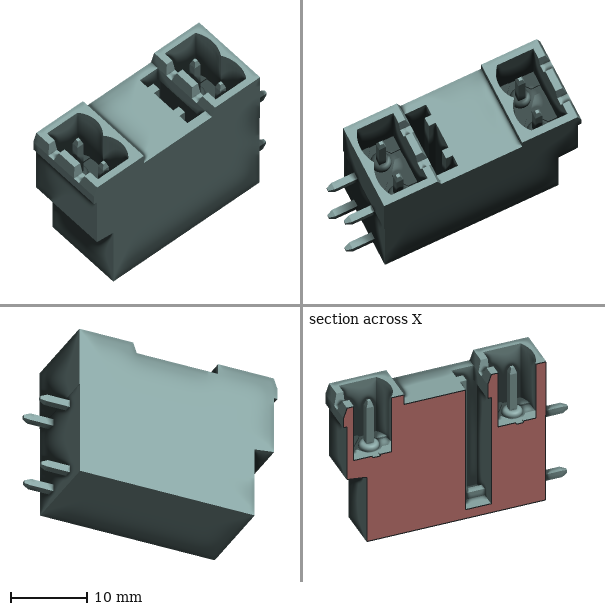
import cadquery as cq

WIDTH = 12.17
HEIGHT = 22.0
DECK_Z = 20.5
LIP_BOTTOM_Z = 18.95
NOSE_BEVEL = 0.52
LIP_OVERHANG = 0.5
OVERHANG_FRONT_Z = 10.6
OVERHANG_BACK_Z = 10.25
BASE_FRONT_Y = 3.3
BASE_BACK_Y = 28.67
TOP_BACK_Y = 28.75
BACK_STEP_Z = 13.45
DECK_FRONT_Y = 8.63
DECK_BACK_Y = 20.45

PITCH = 5.1
PIN_X = (-PITCH / 2, PITCH / 2)
PIN_SIZE = 1.02
PIN_TOP_Z = DECK_Z
TIP_SIZE = 0.45
TIP_LENGTH = 0.82

FRONT_PIN_Y = 4.7
FRONT_TAIL_Z = 2.0
FRONT_TAIL_END_Y = 32.7
REAR_PIN_Y = 25.0
REAR_TAIL_Z = 12.15
REAR_TAIL_END_Y = 32.8

SOCKET_WIDTH = 2 * PITCH
SOCKET_FLOOR_Z = BACK_STEP_Z
FRONT_WALL = 1.5
FRONT_SOCKET_SIDE_Y = 6.8
FRONT_SOCKET_BACK_Y = 7.8
REAR_SOCKET_SIDE_Y = 27.25
REAR_SOCKET_BACK_Y = 27.98
NOTCH_TOP_WIDTH = 2.0

GROOVE_DEPTH = 0.25
GROOVE_WIDTH = PIN_SIZE
REAR_GROOVE_WIDTH = NOTCH_TOP_WIDTH
FLARE_HALF_WIDTH = 2.15
FLARE_BACK = 1.48
FLARE_FRONT = 1.3
COLLAR_DIAMETER = 2.75
COLLAR_FLAT_DIAMETER = 1.7

SLOT_WIDTH = 9.5
SLOT_FRONT_Y = 17.32
SLOT_FLOOR_Z = FRONT_TAIL_Z - PIN_SIZE / 2
SLOT_LIP_HEIGHT = 2.23
TONGUE_WIDTH = 1.25
TONGUE_TIP_Y = 18.3


def box(width, x, y_range, z_range):
    """Block centred on x and spanning the given Y and Z ranges."""
    depth = y_range[1] - y_range[0]
    height = z_range[1] - z_range[0]
    corner = (x - width / 2, y_range[0], z_range[0])
    return cq.Workplane("XY").box(width, depth, height, centered=False).translate(corner)


def housing_block():
    """Side profile drawn in Y and Z, extruded across the width."""
    profile = [
        (0, DECK_Z),
        (0, LIP_BOTTOM_Z),
        (LIP_OVERHANG, LIP_BOTTOM_Z),
        (LIP_OVERHANG, OVERHANG_FRONT_Z),
        (BASE_FRONT_Y, OVERHANG_BACK_Z),
        (BASE_FRONT_Y, 0),
        (BASE_BACK_Y, 0),
        (BASE_BACK_Y, BACK_STEP_Z),
        (TOP_BACK_Y, BACK_STEP_Z),
        (TOP_BACK_Y, HEIGHT),
        (DECK_BACK_Y + NOSE_BEVEL, HEIGHT),
        (DECK_BACK_Y, DECK_Z),
        (DECK_FRONT_Y, DECK_Z),
        (DECK_FRONT_Y, HEIGHT),
        (NOSE_BEVEL, HEIGHT),
    ]
    return cq.Workplane("YZ").polyline(profile).close().extrude(WIDTH / 2, both=True)


def socket_space(front_y, side_y, back_y, bottom_z):
    """Space of one socket from bottom_z up: straight front and sides, one arc per pin at the back."""
    half = SOCKET_WIDTH / 2
    return (
        cq.Workplane("XY", origin=(0, 0, bottom_z))
        .moveTo(-half, front_y)
        .lineTo(half, front_y)
        .lineTo(half, side_y)
        .threePointArc((PIN_X[1], back_y), (0, side_y))
        .threePointArc((PIN_X[0], back_y), (-half, side_y))
        .close()
        .extrude(HEIGHT - bottom_z)
    )


def floor_groove(pin_x, pin_y, front_y, back_y):
    """Cross-shaped groove that flares out around one pin."""
    half = GROOVE_WIDTH / 2
    rear_half = REAR_GROOVE_WIDTH / 2
    right_side = [
        (half, front_y - pin_y),
        (half, front_y + FLARE_FRONT - pin_y),
        (FLARE_HALF_WIDTH, -half),
        (PITCH / 2, -half),
        (PITCH / 2, half),
        (FLARE_HALF_WIDTH, half),
        (rear_half, FLARE_BACK),
        (rear_half, back_y - pin_y),
    ]
    left_side = [(-x, y) for x, y in reversed(right_side)]
    return (
        cq.Workplane("XY", origin=(pin_x, pin_y, SOCKET_FLOOR_Z - GROOVE_DEPTH))
        .polyline(right_side + left_side)
        .close()
        .extrude(GROOVE_DEPTH)
    )


def collar(pin_x, pin_y):
    """Boss with a rounded rim, standing on the groove bottom around one pin."""
    radius = COLLAR_DIAMETER / 2
    rim_radius = (COLLAR_DIAMETER - COLLAR_FLAT_DIAMETER) / 2
    height = GROOVE_DEPTH + rim_radius
    boss = cq.Workplane("XY").circle(radius).extrude(height)
    boss = boss.faces(">Z").edges().fillet(rim_radius)
    return boss.translate((pin_x, pin_y, SOCKET_FLOOR_Z - GROOVE_DEPTH))


def wall_notch(pin_x, lip_y):
    """V-sided notch through a socket's front wall, down to deck level."""
    bottom_half = GROOVE_WIDTH / 2
    top_half = NOTCH_TOP_WIDTH / 2
    outline = [
        (pin_x - bottom_half, DECK_Z),
        (pin_x + bottom_half, DECK_Z),
        (pin_x + top_half, HEIGHT),
        (pin_x - top_half, HEIGHT),
    ]
    return (
        cq.Workplane("XZ", origin=(0, lip_y, 0))
        .polyline(outline)
        .close()
        .extrude(-FRONT_WALL)
    )


def cut_socket(body, lip_y, pin_y, side_y, back_y):
    """Cut one socket with its notches and floor grooves, then add the collars."""
    front_y = lip_y + FRONT_WALL
    body = body.cut(socket_space(front_y, side_y, back_y, SOCKET_FLOOR_Z))
    groove_limit = socket_space(front_y, side_y, back_y, SOCKET_FLOOR_Z - GROOVE_DEPTH)
    for pin_x in PIN_X:
        groove = floor_groove(pin_x, pin_y, front_y, back_y)
        body = body.cut(groove.intersect(groove_limit))
        body = body.cut(wall_notch(pin_x, lip_y))
    for pin_x in PIN_X:
        body = body.union(collar(pin_x, pin_y))
    return body


def deck_slot():
    """Deep slot in front of the rear socket, undercut below the lip, with a tongue per pin left standing."""
    lip_bottom_z = DECK_Z - SLOT_LIP_HEIGHT
    slot = box(SLOT_WIDTH, 0, (SLOT_FRONT_Y, DECK_BACK_Y), (SLOT_FLOOR_Z, DECK_Z))
    undercut_y = (DECK_BACK_Y, DECK_BACK_Y + LIP_OVERHANG)
    slot = slot.union(box(SLOT_WIDTH, 0, undercut_y, (SLOT_FLOOR_Z, lip_bottom_z)))
    for pin_x in PIN_X:
        slot = slot.cut(box(TONGUE_WIDTH, pin_x, (SLOT_FRONT_Y, TONGUE_TIP_Y), (SLOT_FLOOR_Z, DECK_Z)))
    return slot


def tapered_tip():
    """Pyramid-shaped pin end that starts at the origin and points along +Z."""
    return (
        cq.Workplane("XY")
        .rect(PIN_SIZE, PIN_SIZE)
        .workplane(offset=TIP_LENGTH)
        .rect(TIP_SIZE, TIP_SIZE)
        .loft(ruled=True)
    )


def angled_pin(pin_x, pin_y, tail_z, tail_end_y):
    """Square pin: an upright contact and a tail that leaves through the back."""
    half = PIN_SIZE / 2
    shoulder_z = PIN_TOP_Z - TIP_LENGTH
    shoulder_y = tail_end_y - TIP_LENGTH
    contact = box(PIN_SIZE, pin_x, (pin_y - half, pin_y + half), (tail_z - half, shoulder_z))
    tail = box(PIN_SIZE, pin_x, (pin_y - half, shoulder_y), (tail_z - half, tail_z + half))
    contact_tip = tapered_tip().translate((pin_x, pin_y, shoulder_z))
    tail_tip = tapered_tip().rotate((0, 0, 0), (1, 0, 0), -90).translate((pin_x, shoulder_y, tail_z))
    return contact.union(tail).union(contact_tip).union(tail_tip)


pins = []
for x in PIN_X:
    pins.append(angled_pin(x, FRONT_PIN_Y, FRONT_TAIL_Z, FRONT_TAIL_END_Y))
    pins.append(angled_pin(x, REAR_PIN_Y, REAR_TAIL_Z, REAR_TAIL_END_Y))

housing = housing_block()
housing = cut_socket(housing, 0, FRONT_PIN_Y, FRONT_SOCKET_SIDE_Y, FRONT_SOCKET_BACK_Y)
housing = cut_socket(housing, DECK_BACK_Y, REAR_PIN_Y, REAR_SOCKET_SIDE_Y, REAR_SOCKET_BACK_Y)
housing = housing.cut(deck_slot())
for pin in pins:
    housing = housing.cut(pin)

bodies = [housing, *pins]
result = cq.Compound.makeCompound([body.solids().val() for body in bodies])